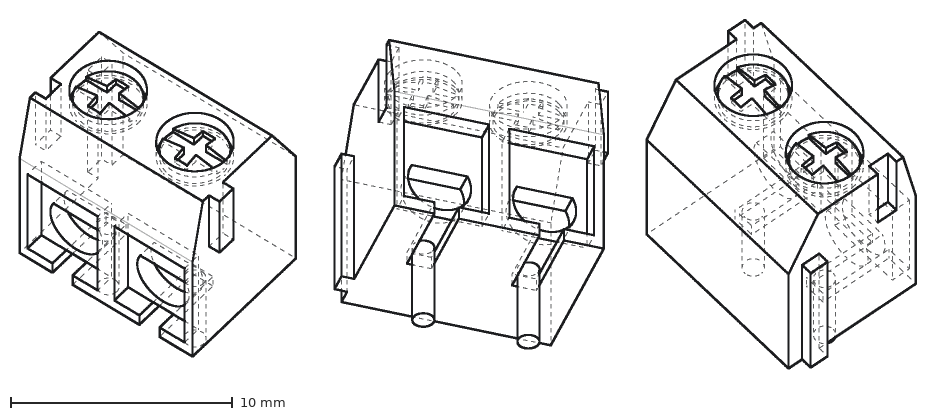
import cadquery as cq
import math


POLE_PITCH = 5.0
END_MARGIN = 2.48
BODY_WIDTH = POLE_PITCH + 2 * END_MARGIN
BODY_DEPTH = 7.5
BODY_HEIGHT = 10.0
FRONT_SLOPE_DROP = 3.5
FRONT_SLOPE_RUN = 0.75
BACK_SLOPE_DROP = 3.0
BACK_SLOPE_ANGLE = 30.0
BACK_SLOPE_RUN = BACK_SLOPE_DROP * math.tan(math.radians(BACK_SLOPE_ANGLE))

FRONT_Y = -BODY_DEPTH / 2
BACK_Y = BODY_DEPTH / 2
LEFT_X = -BODY_WIDTH / 2
RIGHT_X = BODY_WIDTH / 2
POLE_XS = (-POLE_PITCH / 2, POLE_PITCH / 2)
POLE_SETBACK = 3.3
POLE_Y = FRONT_Y + POLE_SETBACK

RIB_WIDTH = 1.0
RIB_PROJECTION = 0.6
LEFT_RIB_HEIGHT = 7.0
LEFT_RIB_BACK_INSET = 0.8
RIGHT_RIB_LENGTH = 3.5
RIGHT_RIB_FRONT_INSET = 1.2
GROOVE_SIDE_CLEARANCE = 0.05
GROOVE_END_CLEARANCE = 0.08

POCKET_WIDTH = 4.04
POCKET_FLOOR_Z = 0.65
POCKET_TOP_Z = 5.73
POCKET_DEPTH = 1.0
WIRE_HOLE_RADIUS = 1.5
WIRE_HOLE_Z = 2.62
WIRE_HOLE_FLAT_Z = 3.33
WIRE_HOLE_DEPTH = 1.0
BASE_SLOT_WIDTH = 1.16

SCREW_WELL_DIAMETER = 3.5
SCREW_WELL_DEPTH = 1.0
SCREW_RADIUS = 1.6
SCREW_RIM_DEPTH = 0.55
SCREW_CONE_HEIGHT = 0.35
RECESS_FLOOR_DEPTH = 0.75
DRIVE_SLOT_WIDTH = 0.73
CROSS_SLOT_WIDTH = 0.7
CROSS_SLOT_LENGTH = 2.04

PIN_DIAMETER = 1.0
PIN_LENGTH = 3.5


def box(x_min, x_max, y_min, y_max, z_min, z_max):
    """Block spanning the given limits."""
    return cq.Workplane("XY").box(
        x_max - x_min, y_max - y_min, z_max - z_min, centered=False
    ).translate((x_min, y_min, z_min))


def make_housing():
    """Block with a steep front slope and a 30 degree back slope."""
    profile = [
        (FRONT_Y, 0),
        (BACK_Y, 0),
        (BACK_Y, BODY_HEIGHT - BACK_SLOPE_DROP),
        (BACK_Y - BACK_SLOPE_RUN, BODY_HEIGHT),
        (FRONT_Y + FRONT_SLOPE_RUN, BODY_HEIGHT),
        (FRONT_Y, BODY_HEIGHT - FRONT_SLOPE_DROP),
    ]
    return (
        cq.Workplane("YZ", origin=(LEFT_X, 0, 0))
        .polyline(profile)
        .close()
        .extrude(BODY_WIDTH)
    )


def make_left_rib():
    rib_back = BACK_Y - LEFT_RIB_BACK_INSET
    return box(LEFT_X - RIB_PROJECTION, LEFT_X, rib_back - RIB_WIDTH, rib_back, 0, LEFT_RIB_HEIGHT)


def make_right_rib():
    rib_front = FRONT_Y + RIGHT_RIB_FRONT_INSET
    return box(
        RIGHT_X, RIGHT_X + RIB_PROJECTION,
        rib_front, rib_front + RIB_WIDTH,
        BODY_HEIGHT - RIGHT_RIB_LENGTH, BODY_HEIGHT,
    )


def make_left_groove():
    """Groove that accepts the right rib of a neighbouring block."""
    groove_front = FRONT_Y + RIGHT_RIB_FRONT_INSET - GROOVE_SIDE_CLEARANCE
    groove_width = RIB_WIDTH + 2 * GROOVE_SIDE_CLEARANCE
    return box(
        LEFT_X, LEFT_X + RIB_PROJECTION,
        groove_front, groove_front + groove_width,
        BODY_HEIGHT - RIGHT_RIB_LENGTH - GROOVE_END_CLEARANCE, BODY_HEIGHT,
    )


def make_wire_entry(x):
    """Rectangular pocket, flat-topped round hole behind it and slot through the base."""
    pocket_back = FRONT_Y + POCKET_DEPTH
    hole_back = pocket_back + WIRE_HOLE_DEPTH
    half_pocket = POCKET_WIDTH / 2
    half_slot = BASE_SLOT_WIDTH / 2
    pocket = box(x - half_pocket, x + half_pocket, FRONT_Y, pocket_back, POCKET_FLOOR_Z, POCKET_TOP_Z)
    hole = (
        cq.Workplane("XZ", origin=(x, hole_back, WIRE_HOLE_Z))
        .circle(WIRE_HOLE_RADIUS)
        .extrude(WIRE_HOLE_DEPTH)
    )
    below_flat = box(
        x - WIRE_HOLE_RADIUS, x + WIRE_HOLE_RADIUS,
        pocket_back, hole_back,
        WIRE_HOLE_Z - WIRE_HOLE_RADIUS, WIRE_HOLE_FLAT_Z,
    )
    slot = box(x - half_slot, x + half_slot, FRONT_Y, POLE_Y + half_slot, 0, POCKET_FLOOR_Z)
    return pocket.union(hole.intersect(below_flat)).union(slot)


def make_screw_well(x):
    well_floor = BODY_HEIGHT - SCREW_WELL_DEPTH
    return (
        cq.Workplane("XY", origin=(x, POLE_Y, well_floor))
        .circle(SCREW_WELL_DIAMETER / 2)
        .extrude(SCREW_WELL_DEPTH)
    )


def make_screw_head(x):
    """Shallow conical head with a cross recess, standing clear of the well wall."""
    rim_z = BODY_HEIGHT - SCREW_RIM_DEPTH
    apex_z = rim_z + SCREW_CONE_HEIGHT
    recess_floor = BODY_HEIGHT - RECESS_FLOOR_DEPTH
    recess_depth = apex_z - recess_floor
    profile = [
        (0, BODY_HEIGHT - SCREW_WELL_DEPTH),
        (SCREW_RADIUS, BODY_HEIGHT - SCREW_WELL_DEPTH),
        (SCREW_RADIUS, rim_z),
        (0, apex_z),
    ]
    head = cq.Workplane("XZ").polyline(profile).close().revolve(360, (0, 0), (0, 1))
    recess_plane = cq.Workplane("XY", origin=(0, 0, recess_floor))
    drive_slot = recess_plane.rect(2 * SCREW_RADIUS, DRIVE_SLOT_WIDTH).extrude(recess_depth)
    cross_slot = recess_plane.rect(CROSS_SLOT_WIDTH, CROSS_SLOT_LENGTH).extrude(recess_depth)
    return head.cut(drive_slot).cut(cross_slot).translate((x, POLE_Y, 0))


def make_pin(x):
    """Round pin hanging from the ceiling of the base slot to below the base."""
    return (
        cq.Workplane("XY", origin=(x, POLE_Y, -PIN_LENGTH))
        .circle(PIN_DIAMETER / 2)
        .extrude(PIN_LENGTH + POCKET_FLOOR_Z)
    )


result = make_housing().union(make_left_rib()).union(make_right_rib()).cut(make_left_groove())
for pole_x in POLE_XS:
    result = result.cut(make_wire_entry(pole_x)).cut(make_screw_well(pole_x))
    result = result.union(make_screw_head(pole_x)).union(make_pin(pole_x))